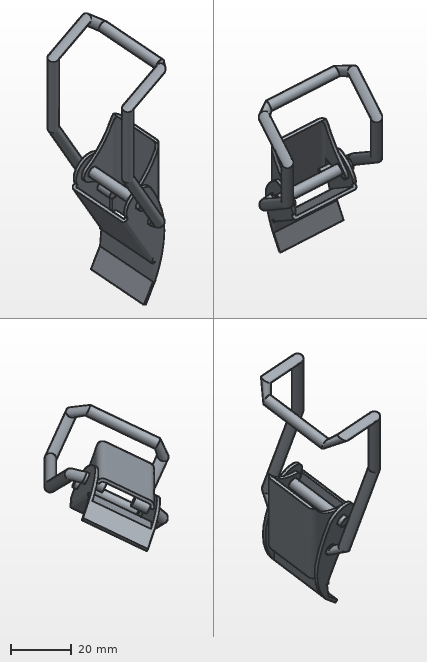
import cadquery as cq
import math


SHEET = 1.2
PIN_Y = -12.2

PIN_DIAMETER = 4.0
PIN_LENGTH = 27.5

BASE_WIDTH = 21.4
BASE_BEND_RADIUS = 2.5
BASE_TOP = 19.0
BASE_BOTTOM = -26.4
BASE_LOBE_RADIUS = 4.0
BASE_TOP_EDGE_DIP = (-5.5, 11.0)
BASE_UPPER_EDGE_ANGLE = 135
BASE_LOWER_EDGE_ANGLE = 237

LEVER_WIDTH = 24.2
LEVER_CORNER_RADIUS = 1.15
FADED_CORNER_RADIUS = 0.02
EAR_RADIUS = 6.5
EAR_BACK_ANGLE = 37
EAR_FRONT_ANGLE = 206
PLATE_TOP = (-19.85, -3.7)
PLATE_BEND = (-5.85, -33.8)
PLATE_LIP_BEND = (-5.85, -42.3)
PLATE_TIP = (-10.3, -50.08)
BACK_UPPER_MIDDLE = (-2.7, -6.6)
BACK_REARMOST = (-0.35, -16.9)
BACK_LOWER_MIDDLE = (-1.85, -34.5)

WIRE_DIAMETER = 4.0
BAIL_WIDTH = 38.0
BAIL_OFFSET = 0.2
ELBOW_REACH = 4.0
FOOT_GAP = 10.8
FOOT_AXIS = (-6.4, -11.9)
LEG_BOTTOM = (-8.3, -8.3)
LEG_KNEE = (-23.55, 24.6)
LEG_TOP = (-23.55, 58.3)
HOOK_END = (-7.6, 64.7)
BAR_AXIS = (-3.6, 61.1)


def direction(start, end):
    """Unit (Y, Z) vector from start to end."""
    length = math.dist(start, end)
    return ((end[0] - start[0]) / length, (end[1] - start[1]) / length)


def around_pin(radius, angle):
    """(Y, Z) point at a radius and an angle from +Y about the pin axis."""
    radians = math.radians(angle)
    return (PIN_Y + radius * math.cos(radians), radius * math.sin(radians))


def side_sketch(offset):
    """Workplane in the YZ plane at X = offset."""
    return cq.Workplane("YZ", origin=(offset, 0, 0))


def cross_rod(centre, diameter, length):
    """Round rod along X about a (Y, Z) centre, evenly across the mid-plane."""
    return side_sketch(-length / 2).center(*centre).circle(diameter / 2).extrude(length)


def behind_plate(before, corner, after):
    """Point one sheet thickness behind the plate at a corner, on the mitre of its two runs."""
    run_in = direction(before, corner)
    run_out = direction(corner, after)
    normal_in = (-run_in[1], run_in[0])
    normal_out = (-run_out[1], run_out[0])
    scale = SHEET / (1 + normal_in[0] * normal_out[0] + normal_in[1] * normal_out[1])
    return (corner[0] + scale * (normal_in[0] + normal_out[0]),
            corner[1] + scale * (normal_in[1] + normal_out[1]))


def beyond(start, end):
    """Point that continues the line from start through end."""
    return (2 * end[0] - start[0], 2 * end[1] - start[1])


pin_hole = cross_rod((PIN_Y, 0), PIN_DIAMETER, 2 * LEVER_WIDTH)


def make_pin():
    return cross_rod((PIN_Y, 0), PIN_DIAMETER, PIN_LENGTH)


def make_base():
    """U channel open to the front, cut to its side outline."""
    depth = -PIN_Y + BASE_LOBE_RADIUS
    height = BASE_TOP - BASE_BOTTOM
    channel = (
        cq.Workplane("XY", origin=(0, -depth / 2, BASE_BOTTOM))
        .rect(BASE_WIDTH, depth)
        .extrude(height)
        .edges("|Z and >Y")
        .fillet(BASE_BEND_RADIUS)
    )
    inside = (
        cq.Workplane("XY", origin=(0, -depth / 2 - SHEET, BASE_BOTTOM))
        .rect(BASE_WIDTH - 2 * SHEET, depth)
        .extrude(height)
        .edges("|Z and >Y")
        .fillet(BASE_BEND_RADIUS - SHEET)
    )
    lower_start = around_pin(BASE_LOBE_RADIUS, BASE_LOWER_EDGE_ANGLE)
    slope = -1 / math.tan(math.radians(BASE_LOWER_EDGE_ANGLE))
    lower_end = (-BASE_BEND_RADIUS, lower_start[1] + slope * (-BASE_BEND_RADIUS - lower_start[0]))
    outline = (
        side_sketch(-BASE_WIDTH / 2)
        .moveTo(0, BASE_TOP)
        .lineTo(-SHEET, BASE_TOP)
        .threePointArc(BASE_TOP_EDGE_DIP, around_pin(BASE_LOBE_RADIUS, BASE_UPPER_EDGE_ANGLE))
        .threePointArc(around_pin(BASE_LOBE_RADIUS, 180), lower_start)
        .lineTo(*lower_end)
        .lineTo(-BASE_BEND_RADIUS, BASE_BOTTOM)
        .lineTo(0, BASE_BOTTOM)
        .close()
        .extrude(BASE_WIDTH)
    )
    return channel.cut(inside).intersect(outline).cut(pin_hole)


def corner_section(side, radius, outer, inner):
    """Waste left outside a corner rounding, in the mitre plane through an outer and an inner bend point."""
    outer_x = side * LEVER_WIDTH / 2
    inset_x = outer_x - side * radius
    depth = radius / SHEET
    back = [front + depth * (rear - front) for front, rear in zip(outer, inner)]
    toward_corner = math.sqrt(0.5)
    arc_x = inset_x + side * radius * toward_corner
    arc_middle = [rear + toward_corner * (front - rear) for front, rear in zip(outer, back)]

    corner = cq.Vector(outer_x, *outer)
    on_front = cq.Vector(inset_x, *outer)
    on_side = cq.Vector(outer_x, *back)
    return cq.Wire.assembleEdges([
        cq.Edge.makeLine(corner, on_front),
        cq.Edge.makeThreePointArc(on_front, cq.Vector(arc_x, *arc_middle), on_side),
        cq.Edge.makeLine(on_side, corner),
    ])


def make_lever():
    """Bent front plate with two side walls that carry the pin and the bail."""
    inner_top = behind_plate(beyond(PLATE_BEND, PLATE_TOP), PLATE_TOP, PLATE_BEND)
    inner_bend = behind_plate(PLATE_TOP, PLATE_BEND, PLATE_LIP_BEND)
    inner_lip_bend = behind_plate(PLATE_BEND, PLATE_LIP_BEND, PLATE_TIP)
    inner_tip = behind_plate(PLATE_LIP_BEND, PLATE_TIP, beyond(PLATE_LIP_BEND, PLATE_TIP))

    lever = (
        side_sketch(-LEVER_WIDTH / 2)
        .polyline([PLATE_TOP, PLATE_BEND, PLATE_LIP_BEND, PLATE_TIP,
                   inner_tip, inner_lip_bend, inner_bend, inner_top])
        .close()
        .extrude(LEVER_WIDTH)
    )
    for wall_start in (-LEVER_WIDTH / 2, LEVER_WIDTH / 2 - SHEET):
        wall = (
            side_sketch(wall_start)
            .moveTo(*PLATE_TOP)
            .lineTo(*PLATE_BEND)
            .lineTo(*PLATE_LIP_BEND)
            .lineTo(*inner_lip_bend)
            .threePointArc(BACK_LOWER_MIDDLE, BACK_REARMOST)
            .threePointArc(BACK_UPPER_MIDDLE, around_pin(EAR_RADIUS, EAR_BACK_ANGLE))
            .threePointArc(around_pin(EAR_RADIUS, 90), around_pin(EAR_RADIUS, EAR_FRONT_ANGLE))
            .lineTo(*inner_top)
            .close()
            .extrude(SHEET)
        )
        lever = lever.union(wall)

    middle = [(top + bend) / 2 for top, bend in zip(PLATE_TOP, PLATE_BEND)]
    for side in (-1, 1):
        corner = cq.selectors.NearestToPointSelector((side * LEVER_WIDTH / 2, *middle))
        lever = lever.edges(corner).fillet(LEVER_CORNER_RADIUS)
        fading_waste = cq.Solid.makeLoft([
            corner_section(side, LEVER_CORNER_RADIUS, PLATE_BEND, inner_bend),
            corner_section(side, FADED_CORNER_RADIUS, PLATE_LIP_BEND, inner_lip_bend),
        ], True)
        lever = lever.cut(cq.Workplane(fading_waste))

    foot_holes = cross_rod(FOOT_AXIS, WIRE_DIAMETER, 2 * LEVER_WIDTH)
    return lever.cut(pin_hole).cut(foot_holes)


def wire_ring(x, centre, heading, across):
    """Circular wire section at a point, square to its heading."""
    plane = cq.Plane(origin=(x + BAIL_OFFSET, *centre), xDir=(0, *across), normal=heading)
    return cq.Workplane(plane).circle(WIRE_DIAMETER / 2).wire().val()


def make_bail():
    """Straight wire runs joined ring to ring, from one foot over the bar to the other foot."""
    leg_x = (BAIL_WIDTH - WIRE_DIAMETER) / 2
    corner_x = leg_x - ELBOW_REACH
    lower_run = direction(LEG_BOTTOM, LEG_KNEE)
    upper_run = (0.0, 1.0)
    knee_run = direction((0, 0), (lower_run[0] + upper_run[0], lower_run[1] + upper_run[1]))
    hook_run = direction(HOOK_END, BAR_AXIS)
    leg_stations = [
        (LEG_BOTTOM, lower_run),
        (LEG_KNEE, knee_run),
        (LEG_TOP, upper_run),
        (HOOK_END, hook_run),
    ]

    def across(run):
        return (-run[1], run[0])

    def leg_rings(side):
        """Rings from foot to bar; headings follow the wire up the -X leg and down the +X leg."""
        rings = [wire_ring(side * x, FOOT_AXIS, (-1, 0, 0), across(lower_run))
                 for x in (FOOT_GAP / 2, corner_x)]
        rings += [wire_ring(side * leg_x, centre, (0, -side * run[0], -side * run[1]), across(run))
                  for centre, run in leg_stations]
        rings.append(wire_ring(side * corner_x, BAR_AXIS, (1, 0, 0), across(hook_run)))
        return rings

    rings = leg_rings(-1) + leg_rings(1)[::-1]
    return cq.Workplane(cq.Solid.makeLoft(rings, True))


pin = make_pin()
base = make_base()
lever = make_lever()
bail = make_bail()

result = cq.Compound.makeCompound([pin.val(), base.solids().val(), lever.solids().val(), bail.val()])